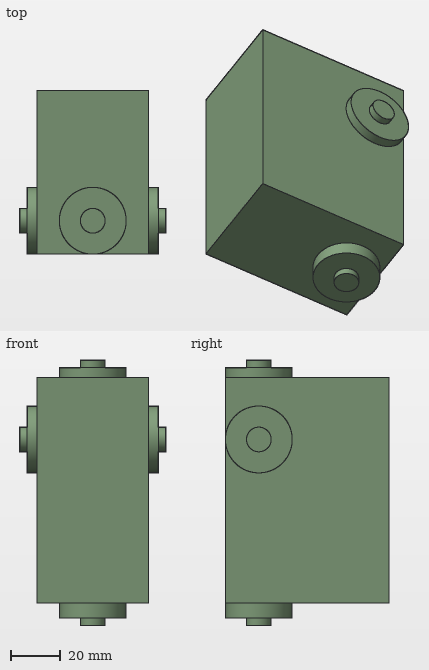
import cadquery as cq

body_width = 45.0
body_depth = 66.0
body_height = 91.1

disc_diameter = 27.0
pin_diameter = 10.0
pin_length = 3.0
disc_thickness = 4.0
bottom_disc_thickness = 6.0

boss_y = disc_diameter / 2
side_boss_drop = 25.0
side_boss_z = body_height - side_boss_drop


def stepped_boss(base_center, direction, thickness):
    """Disc and pin standing on a face at base_center, pointing along direction."""
    face = cq.Plane(origin=base_center, normal=direction)
    disc = cq.Workplane(face).circle(disc_diameter / 2).extrude(thickness)
    pin = cq.Workplane(face).circle(pin_diameter / 2).extrude(thickness + pin_length)
    return disc.union(pin)


result = cq.Workplane("XY").box(body_width, body_depth, body_height, centered=(True, False, False))

for side in (-1, 1):
    base_center = (side * body_width / 2, boss_y, side_boss_z)
    result = result.union(stepped_boss(base_center, (side, 0, 0), disc_thickness))

result = result.union(stepped_boss((0, boss_y, body_height), (0, 0, 1), disc_thickness))
result = result.union(stepped_boss((0, boss_y, 0), (0, 0, -1), bottom_disc_thickness))